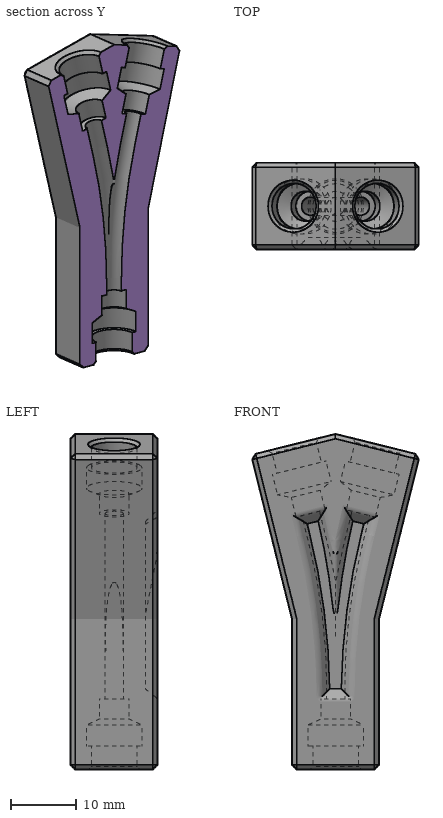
import cadquery as cq
import math

width = 13.39
total_height = 51.6
arm_tilt = 14.0
edge_chamfer = 0.73

rim_diameter = 8.0
bore_diameter = 7.0
cavity_diameter = 8.5
seat_diameter = 4.6
bore_depth = 3.65
cavity_depth = 6.9
cone_depth = 7.8
seat_depth = 10.9

channel_diameter = 2.8
channel_bend_radius = 90.0

groove_bend_radius = 106.0
groove_floor_width = 1.76
groove_wall_run = 1.47
groove_depth = 1.9
groove_floor_bottom_z = 12.4
groove_floor_top_depth = 12.37
groove_edge_fillet = 1.15
groove_crotch_fillet = 0.5

tolerance = 0.01

half_width = width / 2
tilt = math.radians(arm_tilt)
sin_tilt = math.sin(tilt)
cos_tilt = math.cos(tilt)

corner_x = width * cos_tilt
corner_z = total_height - width * sin_tilt
kink_z = corner_z - (corner_x - half_width) / math.tan(tilt)

port_x = half_width * cos_tilt
port_z = total_height - half_width * sin_tilt
fork_z = port_z - port_x / math.tan(tilt)


def bend_point(bend_radius, angle, offset=0.0):
    """Point on a right-hand bend from the stem axis to the arm axis, shifted towards +X by offset."""
    center_z = fork_z - bend_radius * math.tan(tilt / 2)
    radius = bend_radius - offset
    return (bend_radius - radius * math.cos(angle), center_z + radius * math.sin(angle))


def arm_point(depth, offset=0.0):
    """Point in the right arm, depth below its end face and offset sideways from its axis."""
    x = port_x - depth * sin_tilt + offset * cos_tilt
    z = port_z - depth * cos_tilt - offset * sin_tilt
    return (x, z)


def mirrored(point):
    """The left-hand twin of a point."""
    return (-point[0], point[1])


def with_mirror(shape):
    """The right-hand shape together with its left-hand twin."""
    return shape.union(shape.mirror("YZ"))


def make_body():
    """Forked block with chamfered edges; the apex and the kinks in the side walls stay sharp."""
    outline = [
        (-half_width, 0),
        (half_width, 0),
        (half_width, kink_z),
        (corner_x, corner_z),
        (0, total_height),
        (-corner_x, corner_z),
        (-half_width, kink_z),
    ]
    body = cq.Workplane("XZ").polyline(outline).close().extrude(half_width, both=True)
    corner_edges = body.edges(">X or <X")
    rim_edges = body.faces("<Y or >Y or <Z").edges()
    return rim_edges.add(corner_edges).chamfer(edge_chamfer)


def make_port():
    """Port cavity opening at the origin and running down -Z."""
    rim_depth = (rim_diameter - bore_diameter) / 2
    profile = [
        (0, 0),
        (rim_diameter / 2, 0),
        (bore_diameter / 2, -rim_depth),
        (bore_diameter / 2, -bore_depth),
        (cavity_diameter / 2, -bore_depth),
        (cavity_diameter / 2, -cavity_depth),
        (seat_diameter / 2, -cone_depth),
        (seat_diameter / 2, -seat_depth),
        (0, -seat_depth),
    ]
    return cq.Workplane("XZ").polyline(profile).close().revolve(360, (0, 0, 0), (0, 1, 0))


def make_arm_port():
    """Port in the end face of the right arm."""
    return make_port().rotate((0, 0, 0), (0, 1, 0), arm_tilt).translate((port_x, 0, port_z))


def make_stem_port():
    """Port in the bottom of the stem."""
    return make_port().rotate((0, 0, 0), (1, 0, 0), 180)


def make_channel():
    """Right-hand flow channel from the stem's seat to the arm's seat."""
    path = (
        cq.Workplane("XZ")
        .moveTo(0, seat_depth)
        .lineTo(*bend_point(channel_bend_radius, 0))
        .threePointArc(bend_point(channel_bend_radius, tilt / 2), bend_point(channel_bend_radius, tilt))
        .lineTo(*arm_point(seat_depth))
    )
    return cq.Workplane("XY", origin=(0, 0, seat_depth)).circle(channel_diameter / 2).sweep(path)


def groove_outline(plan, grow):
    """Y-shaped outline of the groove floor, grown outwards by grow."""
    side = groove_floor_width / 2 + grow
    end_depth = groove_floor_top_depth - grow

    bend_start_z = bend_point(groove_bend_radius, 0)[1]
    bottom_rise = groove_floor_bottom_z - grow - bend_start_z
    bottom_angle = math.asin(bottom_rise / (groove_bend_radius - side))
    outer_bottom = bend_point(groove_bend_radius, bottom_angle, side)
    outer_middle = bend_point(groove_bend_radius, (bottom_angle + tilt) / 2, side)
    outer_top = bend_point(groove_bend_radius, tilt, side)
    outer_end = arm_point(end_depth, side)

    center_x, center_z = arm_point(groove_floor_top_depth - groove_wall_run, groove_bend_radius)
    inner_radius = groove_bend_radius + side
    end_angle = tilt + math.asin((grow - groove_wall_run) / inner_radius)
    crotch_angle = math.acos(center_x / inner_radius)

    def inner_point(angle):
        return (center_x - inner_radius * math.cos(angle), center_z + inner_radius * math.sin(angle))

    inner_end = inner_point(end_angle)
    inner_middle = inner_point((end_angle + crotch_angle) / 2)
    crotch = inner_point(crotch_angle)

    return (
        plan.moveTo(*outer_bottom)
        .threePointArc(outer_middle, outer_top)
        .lineTo(*outer_end)
        .lineTo(*inner_end)
        .threePointArc(inner_middle, crotch)
        .threePointArc(mirrored(inner_middle), mirrored(inner_end))
        .lineTo(*mirrored(outer_end))
        .lineTo(*mirrored(outer_top))
        .threePointArc(mirrored(outer_middle), mirrored(outer_bottom))
        .close()
    )


def make_groove():
    """Y-shaped groove with sloping walls that narrow towards its floor."""
    front_face = cq.Workplane("XZ", origin=(0, -half_width, 0))
    rim = groove_outline(front_face, groove_wall_run)
    return groove_outline(rim.workplane(offset=-groove_depth), 0).loft(ruled=True)


def edges_in_box(body, low, high):
    """Edges of the body that lie wholly inside a box."""
    return body.edges(cq.selectors.BoxSelector(low, high, boundingbox=True))


def cut_groove(body):
    """Cut the groove, then round its rim and the ridge that runs down from its crotch."""
    front_y = -half_width
    body = body.cut(make_groove())
    rim_edges = edges_in_box(
        body,
        (-half_width, front_y - tolerance, half_width),
        (half_width, front_y + tolerance, corner_z),
    )
    body = rim_edges.fillet(groove_edge_fillet)
    ridge_edges = edges_in_box(
        body,
        (-tolerance, front_y - tolerance, half_width),
        (tolerance, front_y + groove_depth + tolerance, corner_z),
    )
    return ridge_edges.fillet(groove_crotch_fillet)


result = cut_groove(make_body())
result = result.cut(with_mirror(make_arm_port()))
result = result.cut(make_stem_port())
result = result.cut(with_mirror(make_channel()))